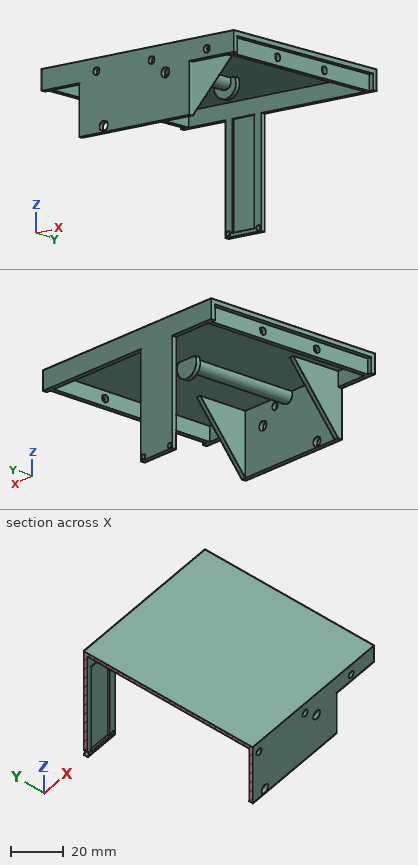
import cadquery as cq


length = 96.0
width = 83.0
platform_depth = 8.5
wall = 2.0
end_wall_inset = 2.0

apron_left = 18.75
apron_width = 55.0
apron_bottom = 29.5
rib_thickness = 2.0
rib_reach = 17.4

tab_left = 22.25
tab_width = 18.0
tab_bottom = 54.5
tab_recess_width = 11.0
tab_recess_depth = 1.0
tab_recess_margin = 1.5
tab_hole_diameter = 2.0
tab_hole_edge = 1.5

screw_diameter = 3.0
screw_depth = 5.2
front_screw_first_x = 27.4
front_screw_spacing = 27.5
front_screw_count = 3
end_screw_positions = (27.8, 55.0)

apron_hole_diameter = 4.0
apron_holes = ((61.8, 11.1), (31.0, 27.1))

shaft_x = length / 2
shaft_diameter = 6.0
shaft_axis_depth = 3.5
disc_diameter = 11.0
disc_axis_depth = 4.5
disc_thickness = 2.0
disc_front = 50.8

tab_center = tab_left + tab_width / 2


def block(x, y, size_x, size_y, top, bottom):
    """Box from corner (x, y), between two depths below the platform's top."""
    box = cq.Workplane("XY").box(size_x, size_y, bottom - top, centered=False)
    return box.translate((x, y, -bottom))


def cylinder_along_y(x, depth, diameter, y_start, y_end):
    plane = cq.Workplane("XZ", origin=(x, y_start, -depth))
    return plane.circle(diameter / 2).extrude(y_start - y_end)


def cylinder_along_x(y, depth, diameter, x_start, x_end):
    plane = cq.Workplane("YZ", origin=(x_start, y, -depth))
    return plane.circle(diameter / 2).extrude(x_end - x_start)


def make_platform():
    inner_width = width - 2 * wall
    platform = block(0, 0, length, width, 0, platform_depth)
    cavity_start = end_wall_inset + wall
    cavity_length = length - 2 * cavity_start
    platform = platform.cut(block(cavity_start, wall, cavity_length, inner_width, wall, platform_depth))
    for x in (0, length - end_wall_inset):
        platform = platform.cut(block(x, wall, end_wall_inset, inner_width, wall, platform_depth))
    return platform


def make_rib(x):
    """Triangular brace behind the apron, running up to the platform's top plate."""
    slope = rib_reach / (apron_bottom - platform_depth)
    rib_end = wall + slope * (apron_bottom - wall)
    profile = [(0, -apron_bottom), (wall, -apron_bottom), (rib_end, -wall), (0, -wall)]
    return cq.Workplane("YZ", origin=(x, 0, 0)).polyline(profile).close().extrude(rib_thickness)


def make_apron():
    apron = block(apron_left, 0, apron_width, wall, wall, apron_bottom)
    for x in (apron_left, apron_left + apron_width - rib_thickness):
        apron = apron.union(make_rib(x))
    return apron


def make_tab():
    front = width - wall
    tab = block(tab_left, front, tab_width, wall, wall, tab_bottom)
    recess_left = tab_center - tab_recess_width / 2
    recess_bottom = tab_bottom - tab_recess_margin
    recess = block(recess_left, front, tab_recess_width, tab_recess_depth, platform_depth, recess_bottom)
    tab = tab.cut(recess)
    for x in (tab_left + tab_hole_edge, tab_left + tab_width - tab_hole_edge):
        hole = cylinder_along_y(x, tab_bottom - tab_hole_edge, tab_hole_diameter, front, width)
        tab = tab.cut(hole)
    return tab


def make_shaft():
    shaft = cylinder_along_y(shaft_x, shaft_axis_depth, shaft_diameter, wall, disc_front)
    disc_back = disc_front + disc_thickness
    disc = cylinder_along_y(shaft_x, disc_axis_depth, disc_diameter, disc_front, disc_back)
    above_platform = block(0, 0, length, width, -disc_diameter, 0)
    return shaft.union(disc).cut(above_platform)


def cut_wall_holes(body):
    for i in range(front_screw_count):
        x = front_screw_first_x + i * front_screw_spacing
        body = body.cut(cylinder_along_y(x, screw_depth, screw_diameter, 0, wall))
    for y in end_screw_positions:
        for x in (end_wall_inset, length - end_wall_inset - wall):
            body = body.cut(cylinder_along_x(y, screw_depth, screw_diameter, x, x + wall))
    for x, depth in apron_holes:
        body = body.cut(cylinder_along_y(x, depth, apron_hole_diameter, 0, wall))
    return body


body = make_platform().union(make_apron()).union(make_tab()).union(make_shaft())
result = cut_wall_holes(body)